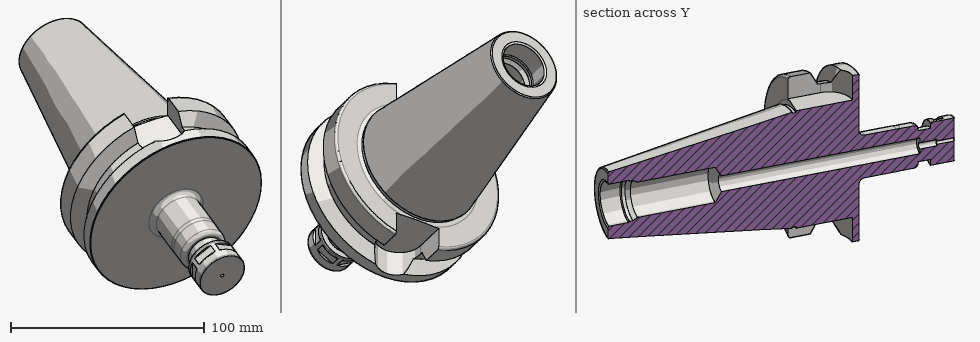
import cadquery as cq
import math

total_length = 191.8

gauge_x = 101.8
gauge_radius = 35.0
taper_ratio = 7 / 24
taper_tip_radius = gauge_radius - gauge_x * taper_ratio / 2
tip_chamfer = 0.5

neck_radius = 34.3
neck_step = gauge_radius - neck_radius
shoulder_radius = 36.8
shoulder_length = 0.5

flange_x = 104.7
flange_end_x = 139.2
flange_radius = 100.0 / 2
front_edge_fillet = 1.3
rear_chamfer = 0.4
groove_floor_radius = 42.5
groove_floor_start = 121.2
groove_floor_end = 128.0
groove_angle = math.radians(60)
groove_run = (flange_radius - groove_floor_radius) / math.tan(groove_angle)

slot_width = 25.7
slot_end_x = 135.5
slot_floor_z = 35.3

shank_radius = 25.9 / 2
shank_front_radius = 25.7 / 2
shank_root_fillet = 2.9
shank_step_start = 159.5
shank_step_end = 161.9
shank_end_x = 171.9
shank_end_fillet = 2.5

stem_radius = 19.0 / 2
nut_x = 178.5
nut_radius = 26.0 / 2
nut_rear_chamfer_length = 1.2
nut_front_chamfer_length = 0.8
nut_chamfer_depth = 0.2
flat_count = 6
flat_start_x = 181.0
flat_end_x = 186.0
flat_ramp = 0.4
flat_distance = 11.9

mouth_radius = 13.6
mouth_chamfer = 0.5
pilot_radius = 12.5
pilot_depth = 11.5
thread_major_radius = 11.9
thread_lead_length = 2.0
thread_core_radius = 21.0 / 2
thread_depth = 59.5
passage_radius = 9.2 / 2
passage_end_x = 172.6
drill_cone_angle = math.radians(59)
lead_cone_angle = math.radians(30)
jet_entry_radius = 3.5 / 2
jet_entry_end_x = 182.2
jet_radius = 1.7 / 2


def make_body():
    """Revolve the outer profile of taper, flange, shank and nut about X."""
    profile = (
        cq.Workplane("XY")
        .moveTo(0, 0)
        .lineTo(0, taper_tip_radius - tip_chamfer)
        .lineTo(tip_chamfer, taper_tip_radius + tip_chamfer * taper_ratio / 2)
        .lineTo(gauge_x, gauge_radius)
        .lineTo(gauge_x + neck_step, neck_radius)
        .lineTo(flange_x - shoulder_length, neck_radius)
        .lineTo(flange_x, shoulder_radius)
        .lineTo(flange_x, flange_radius - front_edge_fillet)
        .radiusArc((flange_x + front_edge_fillet, flange_radius), front_edge_fillet)
        .lineTo(groove_floor_start - groove_run, flange_radius)
        .lineTo(groove_floor_start, groove_floor_radius)
        .lineTo(groove_floor_end, groove_floor_radius)
        .lineTo(groove_floor_end + groove_run, flange_radius)
        .lineTo(flange_end_x - rear_chamfer, flange_radius)
        .lineTo(flange_end_x, flange_radius - rear_chamfer)
        .lineTo(flange_end_x, shank_radius + shank_root_fillet)
        .radiusArc((flange_end_x + shank_root_fillet, shank_radius), -shank_root_fillet)
        .lineTo(shank_step_start, shank_radius)
        .lineTo(shank_step_end, shank_front_radius)
        .lineTo(shank_end_x - shank_end_fillet, shank_front_radius)
        .radiusArc((shank_end_x, shank_front_radius - shank_end_fillet), shank_end_fillet)
        .lineTo(shank_end_x, stem_radius)
        .lineTo(nut_x, stem_radius)
        .lineTo(nut_x, nut_radius - nut_chamfer_depth)
        .lineTo(nut_x + nut_rear_chamfer_length, nut_radius)
        .lineTo(total_length - nut_front_chamfer_length, nut_radius)
        .lineTo(total_length, nut_radius - nut_chamfer_depth)
        .lineTo(total_length, 0)
        .close()
    )
    return profile.revolve(360, (0, 0, 0), (1, 0, 0))


def make_bore():
    """Revolve the stepped retention bore and coolant passage about X."""
    cone_length = (thread_core_radius - passage_radius) / math.tan(drill_cone_angle)
    pilot_step = pilot_radius - thread_major_radius
    lead_start = pilot_depth + pilot_step
    lead_end = lead_start + thread_lead_length
    lead_cone_length = (thread_major_radius - thread_core_radius) / math.tan(lead_cone_angle)
    profile = (
        cq.Workplane("XY")
        .moveTo(0, 0)
        .lineTo(0, mouth_radius)
        .lineTo(mouth_chamfer, pilot_radius)
        .lineTo(pilot_depth, pilot_radius)
        .lineTo(lead_start, thread_major_radius)
        .lineTo(lead_end, thread_major_radius)
        .lineTo(lead_end + lead_cone_length, thread_core_radius)
        .lineTo(thread_depth, thread_core_radius)
        .lineTo(thread_depth + cone_length, passage_radius)
        .lineTo(passage_end_x, passage_radius)
        .lineTo(passage_end_x, jet_entry_radius)
        .lineTo(jet_entry_end_x, jet_entry_radius)
        .lineTo(jet_entry_end_x, jet_radius)
        .lineTo(total_length, jet_radius)
        .lineTo(total_length, 0)
        .close()
    )
    return profile.revolve(360, (0, 0, 0), (1, 0, 0))


def make_drive_slot():
    """Round-ended slot cutter for the +Z side, open toward the taper end."""
    half_width = slot_width / 2
    arc_center_x = slot_end_x - half_width
    return (
        cq.Workplane("XY", origin=(0, 0, slot_floor_z))
        .moveTo(gauge_x, -half_width)
        .lineTo(arc_center_x, -half_width)
        .threePointArc((slot_end_x, 0), (arc_center_x, half_width))
        .lineTo(gauge_x, half_width)
        .close()
        .extrude(flange_radius - slot_floor_z)
    )


def make_nut_flat():
    """Cutter for one wrench flat on the +Y side, with a ramped front end."""
    rise = nut_radius - flat_distance
    return (
        cq.Workplane("XY")
        .moveTo(flat_start_x, flat_distance)
        .lineTo(flat_end_x, flat_distance)
        .lineTo(flat_end_x + flat_ramp, flat_distance + rise)
        .lineTo(flat_start_x, flat_distance + rise)
        .close()
        .extrude(nut_radius, both=True)
    )


result = make_body().cut(make_bore())

drive_slot = make_drive_slot()
for angle in (0, 180):
    result = result.cut(drive_slot.rotate((0, 0, 0), (1, 0, 0), angle))

nut_flat = make_nut_flat()
for index in range(flat_count):
    result = result.cut(nut_flat.rotate((0, 0, 0), (1, 0, 0), index * 360 / flat_count))